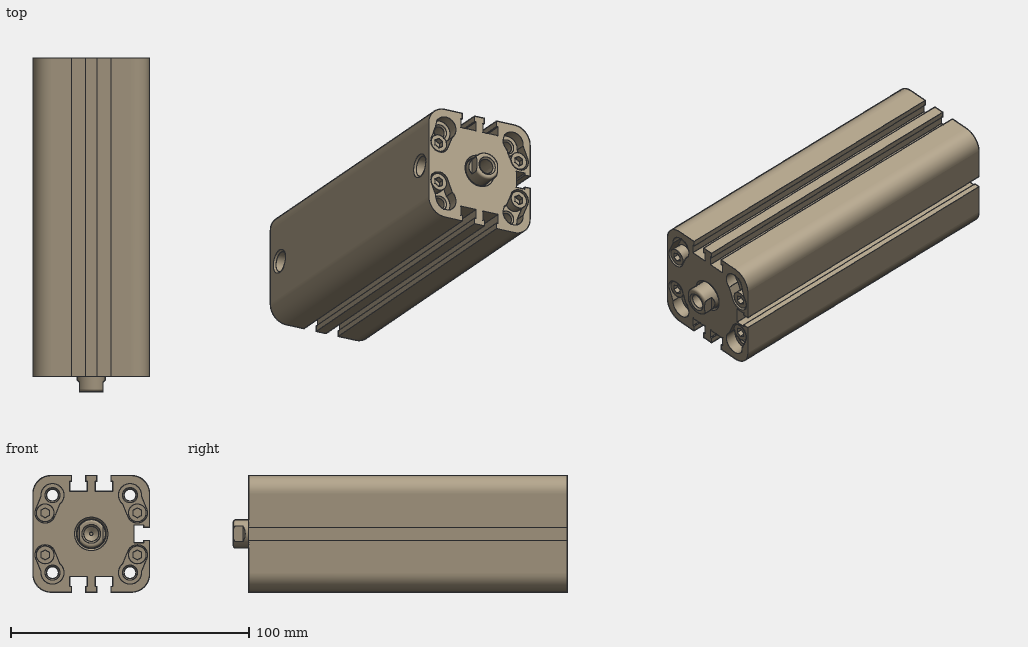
import cadquery as cq
import math


total_length = 140.2
rod_reach = 6.5
housing_side = 49.0
housing_length = total_length - rod_reach
corner_radius = 7.7
half_side = housing_side / 2

slot_mouth_width = 5.9
slot_inner_width = 7.3
slot_lip = 2.5
slot_depth = 6.6
slot_pair_offset = 5.3
side_slot_mouth_width = 5.5

mount_offset = 16.3
mount_diameter = 4.9
mount_mouth_diameter = 6.3
mount_pocket_diameter = 9.7
screw_x = 19.3
screw_z = 8.8
screw_slot_width = 8.5
pocket_depth = 5.0

screw_head_diameter = 7.5
screw_recess = 0.5
socket_sides = 6
socket_width = 3.6
socket_depth = 2.8

rod_diameter = 11.9
rod_tip_fillet = 1.1
flat_width = 10.0
flat_start = 1.4
bearing_diameter = 12.5
bearing_mouth_diameter = 14.0
bearing_depth = 14.0
rod_bore_diameter = 6.3
rod_bore_mouth_diameter = 7.9
rod_bore_floor_diameter = 1.4
rod_bore_depth = 14.0
rod_bore_tip_length = 1.4

port_diameter = 8.5
port_mouth_diameter = 10.2
port_depth = 8.4
port_from_end = 7.7
passage_diameter = 2.5
passage_offset = 2.1
passage_depth = 4.2


def along_y(x, y, z):
    """Sketch plane at (x, y, z) whose extrusions run toward +Y."""
    return cq.Workplane(cq.Plane(origin=(x, y, z), xDir=(1, 0, 0), normal=(0, 1, 0)))


def along_x(x, y, z):
    """Sketch plane at (x, y, z) whose extrusions run toward +X."""
    return cq.Workplane(cq.Plane(origin=(x, y, z), xDir=(0, 1, 0), normal=(1, 0, 0)))


def cone(plane, start_diameter, end_diameter, length):
    """Truncated cone that starts on the given plane."""
    return plane.circle(start_diameter / 2).workplane(offset=length).circle(end_diameter / 2).loft()


def countersink(plane, mouth_diameter, hole_diameter):
    """Cone with 45 degree sides that opens a hole out to its mouth."""
    depth = (mouth_diameter - hole_diameter) / 2
    return cone(plane, mouth_diameter, hole_diameter, depth)


def make_housing():
    block = along_y(0, 0, 0).rect(housing_side, housing_side).extrude(housing_length)
    return block.edges("|Y").fillet(corner_radius)


def make_slot(offset, mouth_width, turn):
    """Full-length slot in the top face at X = offset, turned about the Y axis."""
    middle = housing_length / 2
    lip = cq.Workplane().box(mouth_width, housing_length, slot_depth)
    lip = lip.translate((offset, middle, half_side - slot_depth / 2))
    inner_height = slot_depth - slot_lip
    inner = cq.Workplane().box(slot_inner_width, housing_length, inner_height)
    inner = inner.translate((offset, middle, half_side - slot_lip - inner_height / 2))
    return lip.union(inner).rotate((0, 0, 0), (0, 1, 0), turn)


def make_pocket(side_x, side_z):
    """Round recess over the mounting hole with a slot that reaches the screw."""
    mount_x, mount_z = side_x * mount_offset, side_z * mount_offset
    near_x, near_z = side_x * screw_x, side_z * screw_z
    run_x, run_z = near_x - mount_x, near_z - mount_z
    spacing = math.hypot(run_x, run_z)
    heading = math.degrees(math.atan2(run_z, run_x))
    recess = along_y(mount_x, 0, mount_z).circle(mount_pocket_diameter / 2).extrude(pocket_depth)
    slot = (
        along_y((mount_x + near_x) / 2, 0, (mount_z + near_z) / 2)
        .slot2D(spacing + screw_slot_width, screw_slot_width, -heading)
        .extrude(pocket_depth)
    )
    return recess.union(slot)


def make_mount_hole(x, z):
    """Through hole with a chamfered mouth in the pocket floor."""
    hole = along_y(x, 0, z).circle(mount_diameter / 2).extrude(housing_length)
    mouth = countersink(along_y(x, pocket_depth, z), mount_mouth_diameter, mount_diameter)
    return hole.union(mouth)


def make_screw(x, z):
    """Cap screw head that rises from the pocket floor to just below the front face."""
    head_height = pocket_depth - screw_recess
    head = along_y(x, screw_recess, z).circle(screw_head_diameter / 2).extrude(head_height)
    socket = (
        along_y(x, screw_recess, z)
        .polygon(socket_sides, socket_width, circumscribed=True)
        .extrude(socket_depth)
    )
    return head.cut(socket)


def make_bearing_bore():
    bore = along_y(0, 0, 0).circle(bearing_diameter / 2).extrude(bearing_depth)
    return bore.union(countersink(along_y(0, 0, 0), bearing_mouth_diameter, bearing_diameter))


def make_rod():
    rod = along_y(0, -rod_reach, 0).circle(rod_diameter / 2).extrude(rod_reach + bearing_depth)
    rod = rod.faces("<Y").edges().fillet(rod_tip_fillet)

    flat_depth = (rod_diameter - flat_width) / 2
    flat_end = -flat_start - flat_depth
    for side in (-1, 1):
        flat = (
            cq.Workplane("XY")
            .moveTo(side * flat_width / 2, -rod_reach)
            .lineTo(side * flat_width / 2, flat_end)
            .lineTo(side * rod_diameter / 2, -flat_start)
            .lineTo(side * rod_diameter / 2, -rod_reach)
            .close()
            .extrude(rod_diameter / 2, both=True)
        )
        rod = rod.cut(flat)

    bore = along_y(0, -rod_reach, 0).circle(rod_bore_diameter / 2).extrude(rod_bore_depth)
    mouth = countersink(along_y(0, -rod_reach, 0), rod_bore_mouth_diameter, rod_bore_diameter)
    tip_plane = along_y(0, rod_bore_depth - rod_reach, 0)
    tip = cone(tip_plane, rod_bore_diameter, rod_bore_floor_diameter, rod_bore_tip_length)
    return rod.cut(bore).cut(mouth).cut(tip)


def make_port(y, passage_y):
    """Blind air port with a small off-centre passage in its floor."""
    port = along_x(-half_side, y, 0).circle(port_diameter / 2).extrude(port_depth)
    mouth = countersink(along_x(-half_side, y, 0), port_mouth_diameter, port_diameter)
    passage_plane = along_x(port_depth - half_side, passage_y, 0)
    passage = passage_plane.circle(passage_diameter / 2).extrude(passage_depth)
    return port.union(mouth).union(passage)


result = make_housing()

for slot_turn in (0, 180):
    for slot_side in (-1, 1):
        result = result.cut(make_slot(slot_side * slot_pair_offset, slot_mouth_width, slot_turn))
result = result.cut(make_slot(0, side_slot_mouth_width, 90))

for x_side in (-1, 1):
    for z_side in (-1, 1):
        result = result.cut(make_pocket(x_side, z_side))
        result = result.cut(make_mount_hole(x_side * mount_offset, z_side * mount_offset))
        result = result.union(make_screw(x_side * screw_x, z_side * screw_z))

result = result.cut(make_bearing_bore()).union(make_rod())

front_port_y = port_from_end
rear_port_y = housing_length - port_from_end
result = result.cut(make_port(front_port_y, front_port_y + passage_offset))
result = result.cut(make_port(rear_port_y, rear_port_y - passage_offset))